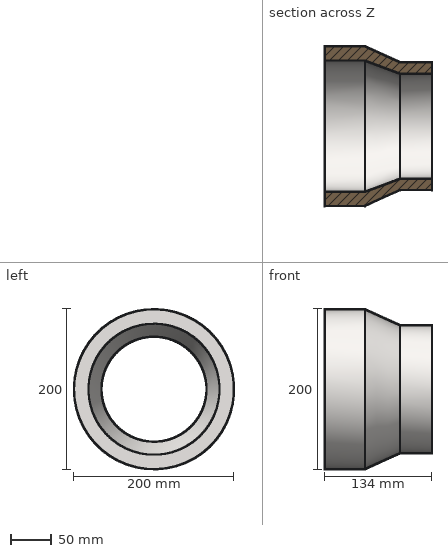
import cadquery as cq

large_outer_diameter = 200.0
large_bore_diameter = 163.5
small_outer_diameter = 160.0
small_bore_diameter = 130.8

large_end_length = 50.0
cone_length = 44.0
small_end_length = 40.0

cone_start = large_end_length
cone_end = cone_start + cone_length
total_length = cone_end + small_end_length


def reducer_body(large_diameter, small_diameter):
    """Solid of two cylinders joined by a cone, revolved about the X axis."""
    large_radius = large_diameter / 2
    small_radius = small_diameter / 2
    half_profile = cq.Workplane("XY").polyline([
        (0, 0),
        (0, large_radius),
        (cone_start, large_radius),
        (cone_end, small_radius),
        (total_length, small_radius),
        (total_length, 0),
    ]).close()
    return half_profile.revolve(360, (0, 0, 0), (1, 0, 0))


outside = reducer_body(large_outer_diameter, small_outer_diameter)
bore = reducer_body(large_bore_diameter, small_bore_diameter)
result = outside.cut(bore)